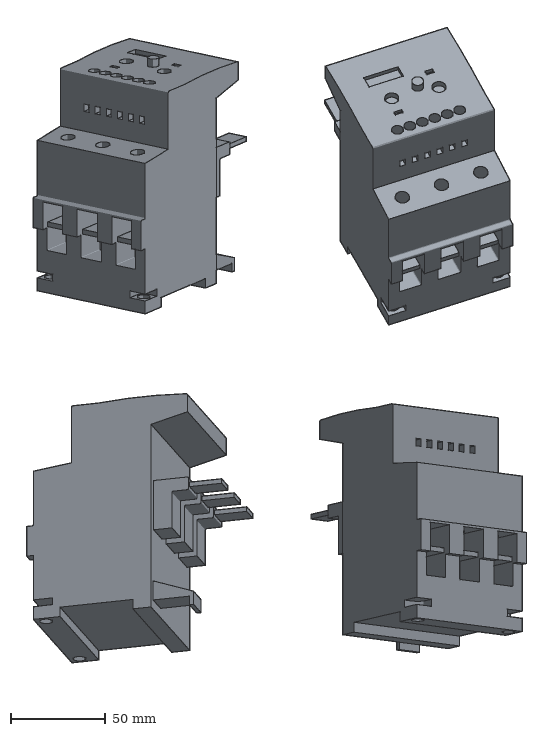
import cadquery as cq


width = 70.0
rear_y = 65.2
upper_front_y = 21.1
shoulder_front_z = 83.6
shoulder_rear_z = 86.1

lid_rear_y = 85.5
lid_edge_z = 118.2
crown_front_y = 36.0
crown_height = 1.0
crown_mid_y = (crown_front_y + lid_rear_y) / 2
crown_z = lid_edge_z + crown_height
overhang_tip_z = 108.0
overhang_root_z = 103.0
lid_edge_radius = 1.0

foot_height = 5.3
front_foot_depth = 14.8
rear_foot_start_y = 55.2

latch_projection = 3.7
latch_bottom_z = 36.1
latch_top_z = 52.9
latch_root_radius = 0.5
latch_edge_radius = 0.5

pole_pitch = 22.6
pole_positions = [-pole_pitch, 0, pole_pitch]
opening_bottom_z = 23.6
opening_top_z = 51.5
opening_depth = 17.3
opening_floor_radius = 0.6
middle_opening_width = 13.1
outer_opening_inner_x = 16.0
outer_opening_outer_x = 28.7
screw_hole_diameter = 7.5
screw_hole_y = 10.6
bar_width = 11.2
clamp_bar_front_y = 0
clamp_bar_bottom_z = 37.0
bar_thickness = 2.6
blade_end_y = 102.3
blade_bottom_z = 68.2

sleeve_width = 15.2
sleeve_top_z = 73.0
sleeve_arm_bottom_z = 65.9
sleeve_bottom_z = 45.2
sleeve_arm_end_y = 84.5
sleeve_leg_end_y = 75.4
sleeve_radius = 0.7

hook_right_x = 31.1
hook_width = 13.6
hook_end_y = 87.6
hook_lip_thickness = 2.3
hook_tip_z = 0.5
hook_shoulder_z = 7.9
hook_root_z = 16.0

notch_bottom_z = 7.2
notch_height = 3.8
notch_width = 9.9
notch_depth = 10.6
notch_radius = 5.0
foot_hole_diameter = 6.8

aux_count = 6
aux_pitch = 7.2
aux_hole_diameter = 6.2
aux_hole_y = 28.2
aux_slot_width = 3.2
aux_slot_bottom_z = 97.1
aux_slot_height = 4.1

button_x = 3.7
button_y = 51.5
button_diameter = 6.2
button_top_z = 123.5
dial_diameter = 7.4
dial_depth = 2.5
dial_centers = [(-12.1, 49.4), (14.1, 47.1)]
label_pocket_left_x = -20.0
label_pocket_width = 19.8
label_pocket_front_y = 61.4
label_pocket_length = 7.3
label_pocket_depth = 2.5
window_depth = 1.2
rear_window_x = (11.6, 15.8)
rear_window_y = (57.5, 60.0)
front_window_x = (-14.8, -10.3)
front_window_y = (38.3, 40.3)


def block(x, y, z):
    """Box between the (low, high) limits given for each axis."""
    size = (x[1] - x[0], y[1] - y[0], z[1] - z[0])
    return cq.Workplane("XY").box(*size, centered=False).translate((x[0], y[0], z[0]))


def centered_range(center, length):
    return (center - length / 2, center + length / 2)


def side_sketch(left_x):
    """Workplane whose local axes are Y and Z, extruding toward +X."""
    return cq.Workplane("YZ", origin=(left_x, 0, 0))


def vertical_cylinder(x, y, diameter, bottom_z, top_z):
    plane = cq.Workplane("XY", origin=(x, y, bottom_z))
    return plane.circle(diameter / 2).extrude(top_z - bottom_z)


def make_housing():
    profile = (
        side_sketch(-width / 2)
        .moveTo(0, 0)
        .lineTo(front_foot_depth, 0)
        .lineTo(front_foot_depth, foot_height)
        .lineTo(rear_foot_start_y, foot_height)
        .lineTo(rear_foot_start_y, 0)
        .lineTo(rear_y, 0)
        .lineTo(rear_y, overhang_root_z)
        .lineTo(lid_rear_y, overhang_tip_z)
        .lineTo(lid_rear_y, lid_edge_z)
        .threePointArc((crown_mid_y, crown_z), (crown_front_y, lid_edge_z))
        .lineTo(upper_front_y, lid_edge_z)
        .lineTo(upper_front_y, shoulder_rear_z)
        .lineTo(0, shoulder_front_z)
        .close()
    )
    housing = profile.extrude(width)
    for edge_y in (upper_front_y, lid_rear_y):
        edge = cq.selectors.NearestToPointSelector((0, edge_y, lid_edge_z))
        housing = housing.edges(edge).fillet(lid_edge_radius)
    return housing


def make_latch_strip():
    root_z = latch_top_z + latch_root_radius
    return (
        side_sketch(-width / 2)
        .moveTo(0, latch_bottom_z)
        .lineTo(-latch_projection, latch_bottom_z)
        .lineTo(-latch_projection, latch_top_z - latch_edge_radius)
        .radiusArc((latch_edge_radius - latch_projection, latch_top_z), latch_edge_radius)
        .lineTo(-latch_root_radius, latch_top_z)
        .radiusArc((0, root_z), -latch_root_radius)
        .close()
        .extrude(width)
    )


def opening_limits(pole_x):
    """X limits of the wire opening; the outer two mirror each other."""
    if pole_x == 0:
        return centered_range(0, middle_opening_width)
    if pole_x < 0:
        return (-outer_opening_outer_x, -outer_opening_inner_x)
    return (outer_opening_inner_x, outer_opening_outer_x)


def cut_pole(body, pole_x):
    x_limits = opening_limits(pole_x)
    opening = block(x_limits, (-latch_projection, opening_depth), (opening_bottom_z, opening_top_z))
    opening = opening.edges("|Y and <Z").fillet(opening_floor_radius)
    screw_hole = vertical_cylinder(pole_x, screw_hole_y, screw_hole_diameter, opening_top_z, shoulder_rear_z)
    return body.cut(opening).cut(screw_hole)


def make_sleeve(pole_x):
    return (
        side_sketch(pole_x - sleeve_width / 2)
        .moveTo(rear_y, sleeve_bottom_z)
        .lineTo(sleeve_leg_end_y, sleeve_bottom_z)
        .lineTo(sleeve_leg_end_y, sleeve_arm_bottom_z)
        .lineTo(sleeve_arm_end_y, sleeve_arm_bottom_z)
        .lineTo(sleeve_arm_end_y, sleeve_top_z)
        .lineTo(rear_y, sleeve_top_z)
        .close()
        .extrude(sleeve_width)
        .edges("(|X exc <Y) exc <Z")
        .fillet(sleeve_radius)
    )


def add_pole(body, pole_x):
    x_limits = centered_range(pole_x, bar_width)
    clamp_z = (clamp_bar_bottom_z, clamp_bar_bottom_z + bar_thickness)
    clamp_bar = block(x_limits, (clamp_bar_front_y, opening_depth), clamp_z)
    blade_z = (blade_bottom_z, blade_bottom_z + bar_thickness)
    blade = block(x_limits, (rear_y, blade_end_y), blade_z)
    return body.union(clamp_bar).union(make_sleeve(pole_x)).union(blade)


def make_hook():
    lip_inner_y = hook_end_y - hook_lip_thickness
    return (
        side_sketch(hook_right_x - hook_width)
        .moveTo(rear_y, foot_height)
        .lineTo(lip_inner_y, foot_height)
        .lineTo(lip_inner_y, hook_tip_z)
        .lineTo(hook_end_y, hook_tip_z)
        .lineTo(hook_end_y, hook_shoulder_z)
        .lineTo(rear_y, hook_root_z)
        .close()
        .extrude(hook_width)
    )


def cut_corner_notches(body):
    z_limits = (notch_bottom_z, notch_bottom_z + notch_height)
    inner_x = width / 2 - notch_width
    right = block((inner_x, width / 2), (0, notch_depth), z_limits)
    right = right.edges("|Z and <X and >Y").fillet(notch_radius)
    hole_x = inner_x + notch_radius
    hole_y = notch_depth - notch_radius
    hole = vertical_cylinder(hole_x, hole_y, foot_hole_diameter, 0, notch_bottom_z)
    cutter = right.union(hole)
    return body.cut(cutter).cut(cutter.mirror("YZ"))


def cut_aux_terminals(body):
    slot_y = (upper_front_y, aux_hole_y)
    slot_z = (aux_slot_bottom_z, aux_slot_bottom_z + aux_slot_height)
    for index in range(aux_count):
        x = (index - (aux_count - 1) / 2) * aux_pitch
        hole = vertical_cylinder(x, aux_hole_y, aux_hole_diameter, aux_slot_bottom_z, crown_z)
        body = body.cut(hole).cut(block(centered_range(x, aux_slot_width), slot_y, slot_z))
    return body


def cut_lid_pockets(body):
    for x, y in dial_centers:
        body = body.cut(vertical_cylinder(x, y, dial_diameter, lid_edge_z - dial_depth, crown_z))
    label_pocket = block(
        (label_pocket_left_x, label_pocket_left_x + label_pocket_width),
        (label_pocket_front_y, label_pocket_front_y + label_pocket_length),
        (crown_z - label_pocket_depth, crown_z),
    )
    window_z = (lid_edge_z - window_depth, crown_z)
    rear_window = block(rear_window_x, rear_window_y, window_z)
    front_window = block(front_window_x, front_window_y, window_z)
    return body.cut(label_pocket).cut(rear_window).cut(front_window)


body = make_housing().union(make_latch_strip())
for pole_x in pole_positions:
    body = cut_pole(body, pole_x)
    body = add_pole(body, pole_x)
body = body.union(make_hook())
body = cut_corner_notches(body)
body = cut_aux_terminals(body)
body = cut_lid_pockets(body)
button = vertical_cylinder(button_x, button_y, button_diameter, lid_edge_z, button_top_z)
result = body.union(button)